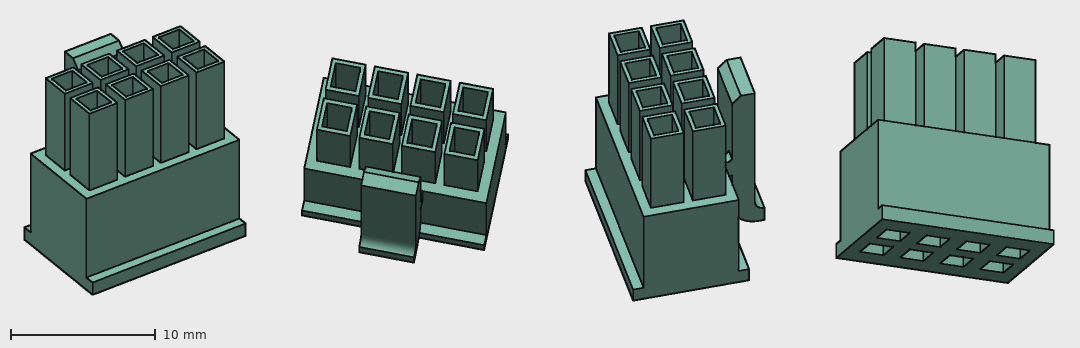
import cadquery as cq


overall_height = 14.0

body_width = 6.8
body_depth = 12.85
body_top = 7.6
flange_width = 8.3
flange_height = 1.04

columns = 2
rows = 4
pitch = 3.0
tower_side = 2.35
bore_side = 1.75

lever_outer_x = -5.75
lever_thickness = 1.64
lever_inner_x = lever_outer_x + lever_thickness
lever_depth = 3.86
lever_top = 13.08
lever_bottom = 1.2
lever_chamfer = 0.63
tip_top = 2.32
inner_bend_radius = 0.69
outer_bend_radius = 1.85
tip_x = lever_outer_x - inner_bend_radius

arm_depth = 0.87
arm_bottom = 5.82
groove_radius = 0.36
groove_floor = 7.14


def make_towers(side, bottom):
    """Grid of square prisms from the given height to the top of the part."""
    return (
        cq.Workplane("XY", origin=(0, 0, bottom))
        .rarray(pitch, pitch, columns, rows)
        .rect(side, side)
        .extrude(overall_height - bottom)
    )


def make_body():
    """Flanged block."""
    flange = cq.Workplane("XY").rect(flange_width, body_depth).extrude(flange_height)
    block = cq.Workplane("XY").rect(body_width, body_depth).extrude(body_top)
    return flange.union(block)


def make_lever():
    """Lever with a chamfered top and two quarter-round bends at the bottom."""
    return (
        cq.Workplane("XZ")
        .moveTo(tip_x, lever_bottom)
        .lineTo(lever_inner_x - outer_bend_radius, lever_bottom)
        .radiusArc((lever_inner_x, lever_bottom + outer_bend_radius), -outer_bend_radius)
        .lineTo(lever_inner_x, lever_top - lever_chamfer)
        .lineTo(lever_inner_x - lever_chamfer, lever_top)
        .lineTo(lever_outer_x, lever_top)
        .lineTo(lever_outer_x, tip_top + inner_bend_radius)
        .radiusArc((tip_x, tip_top), inner_bend_radius)
        .close()
        .extrude(lever_depth / 2, both=True)
    )


def make_arm(center_y):
    """Arm from lever to body; the groove is tangent to the body wall."""
    wall_x = -body_width / 2
    groove_x = wall_x - groove_radius
    groove_z = groove_floor + groove_radius
    block = cq.Workplane("XY").box(
        wall_x - lever_inner_x, arm_depth, groove_z - arm_bottom, centered=(False, True, False)
    ).translate((lever_inner_x, center_y, arm_bottom))
    groove = (
        cq.Workplane("XZ", origin=(groove_x, center_y + arm_depth / 2, groove_z))
        .circle(groove_radius)
        .extrude(arm_depth)
    )
    return block.cut(groove)


arm_offset = (lever_depth - arm_depth) / 2

result = make_body().union(make_towers(tower_side, body_top)).union(make_lever())
for side in (-1, 1):
    result = result.union(make_arm(side * arm_offset))
result = result.cut(make_towers(bore_side, 0))